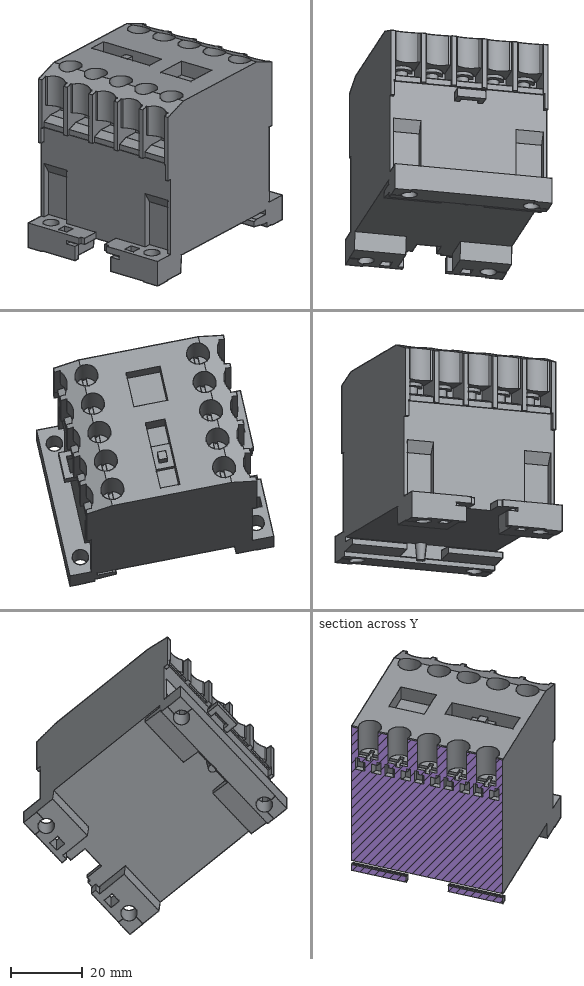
import cadquery as cq
WIDTH = 45.0
LENGTH = 58.0
HEIGHT = 52.0

HEAD_HALF_DEPTH = 24.2
BODY_HALF_DEPTH = 22.9
HEAD_BOTTOM = 30.2
SIDE_PLATE = 0.9
SHOULDER_HEIGHT = 49.55
TOP_HALF_DEPTH = 17.0
BODY_BOTTOM = 5.55

POLE_COUNT = 5
POLE_PITCH = 8.75
BAY_WIDTH = 7.4
BAY_BOTTOM = 34.8
BAY_BACK = 22.55
ARC_BACK = 21.45
ARC_WIDTH = 6.25
SILL_FACE = 23.3
SILL_HEIGHT = 36.5
FLOOR_EDGE = 20.3
FLOOR_HEIGHT = 37.6
WIRE_ROOF = 41.35
SCREW_OFFSET = 15.9
SCREW_HEAD_DIAMETER = 6.0
SCREW_WELL_DIAMETER = 6.4
SCREW_HEAD_BOTTOM = 40.35
SCREW_HEAD_TOP = 42.35
SCREW_SHANK_DIAMETER = 3.5
DRIVE_DEPTH = 0.85
DRIVE_WIDTH = 1.15
DRIVE_LENGTH = 4.5

WINDOW_X = (5.45, 15.95)
WINDOW_Y = (-4.75, 4.95)
WINDOW_DEPTH = 4.2
SLOT_X = (-20.05, 0.05)
SLOT_Y = (-2.8, 2.8)
SLOT_DEPTH = 4.7
SLIDER_X = (-13.0, -6.0)
SLIDER_HEIGHT = 1.3
KNOB_X = (-11.25, -8.9)
KNOB_Y = (-1.1, 1.3)
KNOB_HEIGHT = 2.45

RECESS_X = (13.65, 21.45)
RECESS_DEPTH = 2.05
RECESS_TOP = 23.65
RECESS_SLOPE_BOTTOM = 20.5

TAB_WIDTH = 8.1
TAB_FACE = 26.6
TAB_Z = (30.5, 32.95)
TAB_HOLE_WIDTH = 5.1
TAB_HOLE_FACE = 24.65

FOOT_HEIGHT = 7.5
PAD_HEIGHT = 0.25
PAD_INNER_X = 17.65
FRONT_FOOT_INNER_TOP = 17.8
FRONT_FOOT_INNER_BOTTOM = 18.25
BACK_FOOT_INNER = 21.85
MOUNT_HOLE_DIAMETER = 4.5
MOUNT_HOLE_X = 17.5
MOUNT_HOLE_Y = 25.0
SQUARE_HOLE = 2.95
SQUARE_HOLE_X = 11.55
SQUARE_HOLE_Y = 26.15

HOOK_ROOT = 21.2
HOOK_TIP = 15.85
HOOK_ROOT_Z = (1.55, 4.3)
HOOK_TIP_Z = (2.4, 3.95)
HOOK_BEND = 16.9

PIN_Y = 21.1
PIN_BOTTOM = 0.85
PIN_BOTTOM_DIAMETER = 2.25
PIN_TOP_DIAMETER = 3.25

NECK_WIDTH = 6.95
MOUTH_WIDTH = 9.5
MOUTH_DEPTH = 0.8
PASSAGE_WIDTH = 12.4
GROOVE_WIDTH = 18.3
GROOVE_BOTTOM = 4.6
HOLLOW_WIDTH = 15.55
FRONT_WALL = 1.6

HALF_LENGTH = LENGTH / 2
HALF_WIDTH = WIDTH / 2
CLEAR = 2.9
POLE_X = [(i - (POLE_COUNT - 1) / 2) * POLE_PITCH for i in range(POLE_COUNT)]


def block(x, y, z):
    """Box between the (low, high) limits along each axis."""
    size = [high - low for low, high in (x, y, z)]
    return cq.Workplane("XY").box(*size, centered=False).translate((x[0], y[0], z[0]))


def profile_along_x(points, width):
    """Prism with the given (y, z) outline, centred on x = 0."""
    return cq.Workplane("YZ").polyline(points).close().extrude(width / 2, both=True)


def centred(width):
    return (-width / 2, width / 2)


def rod(diameter, x, y, z):
    """Upright cylinder between the two heights in z."""
    plane = cq.Workplane("XY", origin=(x, y, z[0]))
    return plane.circle(diameter / 2).extrude(z[1] - z[0])


def back_copy(shape):
    """The same shape at the back (+Y) side."""
    return shape.mirror("XZ")


def both_ends(shape):
    return shape.union(back_copy(shape))


def make_housing():
    head_outline = [
        (-HEAD_HALF_DEPTH, HEAD_BOTTOM),
        (-HEAD_HALF_DEPTH, SHOULDER_HEIGHT),
        (-TOP_HALF_DEPTH, HEIGHT),
        (TOP_HALF_DEPTH, HEIGHT),
        (HEAD_HALF_DEPTH, SHOULDER_HEIGHT),
        (HEAD_HALF_DEPTH, HEAD_BOTTOM),
    ]
    head = profile_along_x(head_outline, WIDTH)
    below_bays = block(
        centred(WIDTH - 2 * SIDE_PLATE),
        (-HEAD_HALF_DEPTH - CLEAR, -BODY_HALF_DEPTH),
        (HEAD_BOTTOM - CLEAR, BAY_BOTTOM),
    )
    body = block(
        centred(WIDTH),
        (-BODY_HALF_DEPTH, BODY_HALF_DEPTH),
        (BODY_BOTTOM, HEAD_BOTTOM),
    )
    return head.cut(both_ends(below_bays)).union(body)


def corner_recess():
    """Recess in the lower front right corner, with a sloped upper end."""
    inner = -BODY_HALF_DEPTH + RECESS_DEPTH
    outline = [
        (-BODY_HALF_DEPTH, FOOT_HEIGHT),
        (inner, FOOT_HEIGHT),
        (inner, RECESS_SLOPE_BOTTOM),
        (-BODY_HALF_DEPTH, RECESS_TOP),
    ]
    recess = profile_along_x(outline, RECESS_X[1] - RECESS_X[0])
    return recess.translate((sum(RECESS_X) / 2, 0, 0))


def terminal_bay():
    """Open bay of one pole with the wire chamber below it."""
    outside = -HEAD_HALF_DEPTH - CLEAR
    outline = [
        (-BAY_BACK, HEIGHT),
        (outside, HEIGHT),
        (outside, BAY_BOTTOM),
        (-SILL_FACE, BAY_BOTTOM),
        (-SILL_FACE, SILL_HEIGHT),
        (-FLOOR_EDGE, FLOOR_HEIGHT),
        (-SCREW_OFFSET, FLOOR_HEIGHT),
        (-SCREW_OFFSET, WIRE_ROOF),
        (-BAY_BACK, WIRE_ROOF),
    ]
    rounded_back = (
        cq.Workplane("XY", origin=(0, 0, WIRE_ROOF))
        .moveTo(-ARC_WIDTH / 2, -BAY_BACK)
        .threePointArc((0, -ARC_BACK), (ARC_WIDTH / 2, -BAY_BACK))
        .close()
        .extrude(HEIGHT - WIRE_ROOF)
    )
    return profile_along_x(outline, BAY_WIDTH).union(rounded_back)


def screw_well():
    """Hole above a screw with the cross recess of the screw head."""
    well = rod(SCREW_WELL_DIAMETER, 0, -SCREW_OFFSET, (SCREW_HEAD_TOP, HEIGHT))
    drive_z = (SCREW_HEAD_TOP - DRIVE_DEPTH, SCREW_HEAD_TOP)
    head = rod(SCREW_WELL_DIAMETER, 0, -SCREW_OFFSET, drive_z)
    long_arm = cq.Workplane("XY").box(SCREW_WELL_DIAMETER, DRIVE_WIDTH, HEIGHT)
    short_arm = cq.Workplane("XY").box(DRIVE_WIDTH, DRIVE_LENGTH, HEIGHT)
    cross = long_arm.union(short_arm).translate((0, -SCREW_OFFSET, HEIGHT / 2))
    return well.union(head.intersect(cross))


def screw():
    head = rod(SCREW_HEAD_DIAMETER, 0, -SCREW_OFFSET, (SCREW_HEAD_BOTTOM, SCREW_HEAD_TOP))
    shank = rod(SCREW_SHANK_DIAMETER, 0, -SCREW_OFFSET, (FLOOR_HEIGHT, SCREW_HEAD_BOTTOM))
    return head.union(shank)


def add_terminals(part):
    for x in POLE_X:
        part = part.cut(both_ends(terminal_bay()).translate((x, 0, 0)))
        part = part.union(both_ends(screw()).translate((x, 0, 0)))
        part = part.cut(both_ends(screw_well()).translate((x, 0, 0)))
    return part


def window():
    return block(WINDOW_X, WINDOW_Y, (HEIGHT - WINDOW_DEPTH, HEIGHT))


def indicator_slot():
    """Slot with the slider and its knob left standing on the floor."""
    floor = HEIGHT - SLOT_DEPTH
    slider_top = floor + SLIDER_HEIGHT
    slot = block(SLOT_X, SLOT_Y, (floor, HEIGHT))
    slider = block(SLIDER_X, SLOT_Y, (floor, slider_top))
    knob = block(KNOB_X, KNOB_Y, (slider_top, slider_top + KNOB_HEIGHT))
    return slot.cut(slider).cut(knob)


def back_tab():
    tab = block(centred(TAB_WIDTH), (BODY_HALF_DEPTH, TAB_FACE), TAB_Z)
    hole = block(centred(TAB_HOLE_WIDTH), (BODY_HALF_DEPTH, TAB_HOLE_FACE), TAB_Z)
    return tab.cut(hole)


def corner_pads():
    pad = block((PAD_INNER_X, HALF_WIDTH), (HEAD_HALF_DEPTH, HALF_LENGTH), (0, PAD_HEIGHT))
    pads = pad.union(pad.mirror("YZ"))
    return both_ends(pads)


def front_passage():
    """Stepped opening through the middle of the front foot."""
    front = -HALF_LENGTH
    inside = front + FRONT_WALL
    neck = block(centred(NECK_WIDTH), (front, -BODY_HALF_DEPTH), (BODY_BOTTOM, FOOT_HEIGHT))
    mouth = block(centred(MOUTH_WIDTH), (front, front + MOUTH_DEPTH), (BODY_BOTTOM, FOOT_HEIGHT))
    passage = block(centred(PASSAGE_WIDTH), (front, inside), (0, BODY_BOTTOM))
    groove = block(centred(GROOVE_WIDTH), (front, inside), (GROOVE_BOTTOM, BODY_BOTTOM))
    hollow = block(centred(HOLLOW_WIDTH), (inside, -FRONT_FOOT_INNER_TOP), (0, BODY_BOTTOM))
    return neck.union(mouth).union(passage).union(groove).union(hollow)


def front_foot():
    outline = [
        (-HALF_LENGTH, PAD_HEIGHT),
        (-HALF_LENGTH, FOOT_HEIGHT),
        (-BODY_HALF_DEPTH, FOOT_HEIGHT),
        (-BODY_HALF_DEPTH, BODY_BOTTOM),
        (-FRONT_FOOT_INNER_TOP, BODY_BOTTOM),
        (-FRONT_FOOT_INNER_BOTTOM, PAD_HEIGHT),
    ]
    foot = profile_along_x(outline, WIDTH).cut(front_passage())
    for side in (-1, 1):
        hole = cq.Workplane("XY").box(SQUARE_HOLE, SQUARE_HOLE, 2 * FOOT_HEIGHT + CLEAR)
        foot = foot.cut(hole.translate((side * SQUARE_HOLE_X, -SQUARE_HOLE_Y, 0)))
    return foot


def back_foot():
    """Back foot with the rail hook on its inner side."""
    outline = [
        (HALF_LENGTH, PAD_HEIGHT),
        (HALF_LENGTH, FOOT_HEIGHT),
        (BODY_HALF_DEPTH, FOOT_HEIGHT),
        (BODY_HALF_DEPTH, BODY_BOTTOM),
        (HOOK_ROOT, BODY_BOTTOM),
        (HOOK_ROOT, HOOK_ROOT_Z[1]),
        (HOOK_BEND, HOOK_ROOT_Z[1]),
        (HOOK_TIP, HOOK_TIP_Z[1]),
        (HOOK_TIP, HOOK_TIP_Z[0]),
        (HOOK_ROOT, HOOK_ROOT_Z[0]),
        (BACK_FOOT_INNER, HOOK_ROOT_Z[0]),
        (BACK_FOOT_INNER, PAD_HEIGHT),
    ]
    foot = profile_along_x(outline, WIDTH)
    gap = block(centred(PASSAGE_WIDTH), (HOOK_TIP, HOOK_ROOT), (0, BODY_BOTTOM))
    return foot.cut(gap)


def tapered_pin():
    return (
        cq.Workplane("XY", origin=(0, PIN_Y, PIN_BOTTOM))
        .circle(PIN_BOTTOM_DIAMETER / 2)
        .workplane(offset=BODY_BOTTOM - PIN_BOTTOM)
        .circle(PIN_TOP_DIAMETER / 2)
        .loft()
    )


def mounting_holes():
    return (
        cq.Workplane("XY")
        .rect(2 * MOUNT_HOLE_X, 2 * MOUNT_HOLE_Y, forConstruction=True)
        .vertices()
        .circle(MOUNT_HOLE_DIAMETER / 2)
        .extrude(FOOT_HEIGHT)
    )


part = make_housing()
recess = corner_recess()
part = part.cut(both_ends(recess.union(recess.mirror("YZ"))))
part = add_terminals(part)
part = part.cut(window()).cut(indicator_slot())
part = part.union(back_tab())
part = part.union(front_foot()).union(back_foot()).union(corner_pads()).union(tapered_pin())
result = part.cut(mounting_holes())